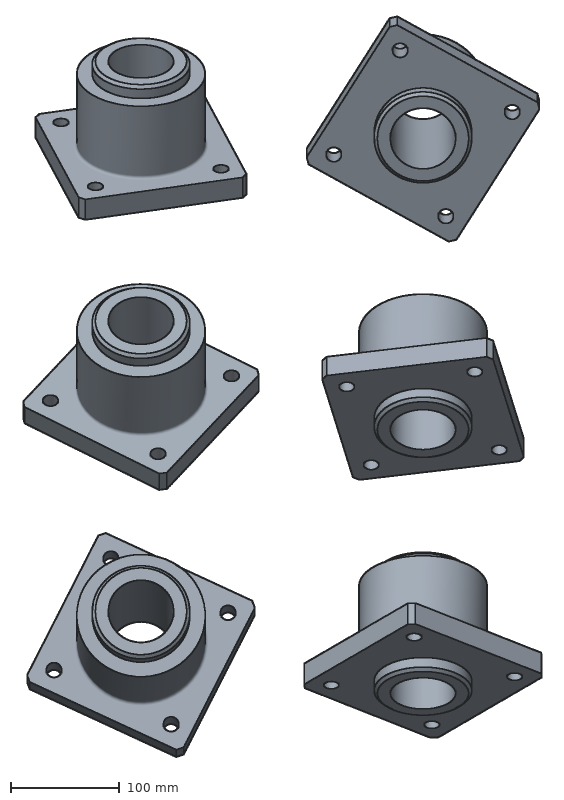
import cadquery as cq

flange_side = 160.0
flange_thickness = 22.0
corner_chamfer = 5.1

hole_diameter = 14.0
hole_spacing = 119.7

barrel_diameter = 118.0
barrel_height = 77.0
barrel_root_fillet = 2.9

sleeve_diameter = 90.0
sleeve_length = 125.0
sleeve_chamfer = 3.0
bore_diameter = 60.0

housing_height = flange_thickness + barrel_height
sleeve_projection = (sleeve_length - housing_height) / 2


def make_housing():
    """Chamfered square flange with a filleted barrel, its underside at Z = 0."""
    flange = (
        cq.Workplane("XY")
        .rect(flange_side, flange_side)
        .extrude(flange_thickness)
        .edges("|Z")
        .chamfer(corner_chamfer)
    )
    barrel = (
        cq.Workplane("XY")
        .circle(barrel_diameter / 2)
        .extrude(housing_height)
    )
    root_edge = cq.selectors.RadiusNthSelector(0)
    housing = flange.union(barrel)
    return housing.faces(">Z[-2]").edges(root_edge).fillet(barrel_root_fillet)


def make_sleeve():
    """Solid sleeve with both outer rims chamfered."""
    return (
        cq.Workplane("XY")
        .workplane(offset=-sleeve_projection)
        .circle(sleeve_diameter / 2)
        .extrude(sleeve_length)
        .edges("%CIRCLE")
        .chamfer(sleeve_chamfer)
    )


def cut_through(body, diameter, centers):
    """Cut round holes along Z through the full height of the body."""
    drills = (
        cq.Workplane("XY")
        .workplane(offset=-sleeve_projection)
        .pushPoints(centers)
        .circle(diameter / 2)
        .extrude(sleeve_length)
    )
    return body.cut(drills)


hole_offset = hole_spacing / 2
hole_centers = [
    (x_side * hole_offset, y_side * hole_offset)
    for x_side in (-1, 1)
    for y_side in (-1, 1)
]

result = make_housing().union(make_sleeve())
result = cut_through(result, bore_diameter, [(0, 0)])
result = cut_through(result, hole_diameter, hole_centers)